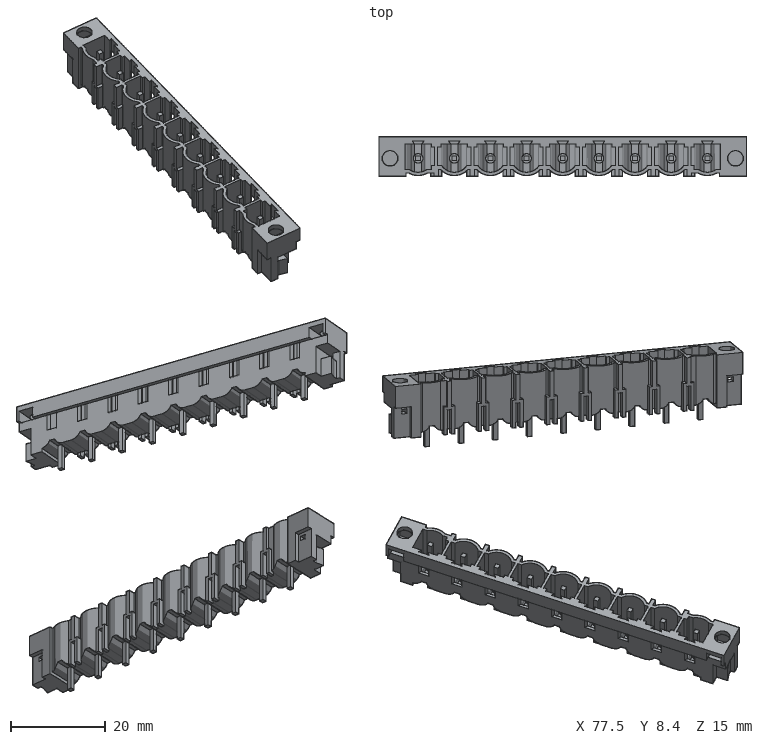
import cadquery as cq
import math


LENGTH = 77.45
HALF_LENGTH = LENGTH / 2
WIDTH = 8.4
HOUSING_DEPTH = 11.7
FLANGE_THICKNESS = 0.9
FLANGE_DEPTH = 3.5
BACK_Y = WIDTH - FLANGE_THICKNESS

PIN_COUNT = 9
PIN_SPAN = 60.95
PITCH = PIN_SPAN / (PIN_COUNT - 1)
PIN_Y = 3.8
CELL_X = [i * PITCH - PIN_SPAN / 2 for i in range(PIN_COUNT)]
JOINT_X = [x + PITCH / 2 for x in CELL_X[:-1]]

WALL = 0.7
ARC_Y = 4.0
OUTER_RADIUS = 3.9
INNER_RADIUS = OUTER_RADIUS - WALL
WEB_Y = 1.5
END_CELL_Y = 0.7

CAVITY_HALF_WIDTH = 2.8
CAVITY_BACK_Y = 6.8
SEPTUM = 0.6
SIDE_POCKET_FRONT_Y = 2.25
SIDE_POCKET_BACK_Y = 6.2
DOVETAIL_MOUTH = 1.55
DOVETAIL_BACK = 2.4
DOVETAIL_DEPTH = 7.0

BOTTOM_DEPTH = 10.9
HUB_BOTTOM_DEPTH = 9.5
UNDERSIDE_X = 2.8
UNDERSIDE_RADIUS = 2.5

FLOOR_DEPTH = 10.2
TROUGH_X = 2.55
TROUGH_RADIUS = 1.3
TROUGH_AXIS_DEPTH = FLOOR_DEPTH - TROUGH_RADIUS
SHOULDER_X = 1.4
SHOULDER_DEPTH = TROUGH_AXIS_DEPTH + math.sqrt(TROUGH_RADIUS**2 - (TROUGH_X - SHOULDER_X) ** 2)
HUB_TOP_DEPTH = 8.8
HUB_HALF_WIDTH = 0.735
COLLAR_RADIUS = 1.0
COLLAR_HEIGHT = 0.5

RIB_WIDTH = 0.9
FOOT_WIDTH = 2.4
FOOT_TOP_DEPTH = 5.6
FOOT_SLOT_TOP_DEPTH = 6.3

END_BLOCK_LENGTH = 5.7
NOTCH_LENGTH = 3.6
NOTCH_WIDTH = 1.0
NOTCH_TOP_DEPTH = 4.8
RECESS_LENGTH = 2.95
RECESS_FRONT_Y = 2.7
RECESS_TOP_DEPTH = 5.5
WINDOW_WIDTH = 1.2
WINDOW_HEIGHT = 1.0
SCREW_INSET = 2.3
SCREW_RADIUS = 1.6
SCREW_HOLE_DEPTH = 1.2
NUT_WIDTH = 3.4
NUT_FRONT_Y = 2.25
WEDGE_TOP_DEPTH = 7.6
WEDGE_SLOPE_Y = 3.65
WEDGE_BACK_Y = 5.4
WEDGE_LOW_INSET = 0.85
WEDGE_HIGH_INSET = 0.4

PIN_WIDTH = 1.0
PIN_TOP_DEPTH = 1.0
PIN_BOTTOM_DEPTH = 14.95


def block(x0, x1, y0, y1, top_depth, bottom_depth):
    """Box between two X values, two Y values and two depths below the mating face."""
    size = (x1 - x0, y1 - y0, bottom_depth - top_depth)
    return cq.Workplane("XY").box(*size, centered=False).translate((x0, y0, -bottom_depth))


def centred_block(x, width, y0, y1, top_depth, bottom_depth):
    return block(x - width / 2, x + width / 2, y0, y1, top_depth, bottom_depth)


def post(x, y, radius, top_depth, bottom_depth):
    """Vertical cylinder between two depths."""
    height = bottom_depth - top_depth
    return cq.Workplane("XY").circle(radius).extrude(height).translate((x, y, -bottom_depth))


def rods(x, depth, radius):
    """Two rods along Y on both sides of the middle of a cell centred at X = 0."""
    axes = [(-x, -depth), (x, -depth)]
    return cq.Workplane("XZ").pushPoints(axes).circle(radius).extrude(-WIDTH)


def underside_cut():
    """Space under the hub of a cell, bounded by the rounded trough bottoms."""
    space = centred_block(0, 2 * UNDERSIDE_X, 0, WIDTH, HUB_BOTTOM_DEPTH, HOUSING_DEPTH)
    return space.cut(rods(UNDERSIDE_X, BOTTOM_DEPTH - UNDERSIDE_RADIUS, UNDERSIDE_RADIUS))


def floor_hump():
    """Raised floor of a cell: a flat hub with sloping shoulders that drop into the troughs."""
    outline = [
        (-TROUGH_X, -FLOOR_DEPTH),
        (-TROUGH_X, -SHOULDER_DEPTH),
        (-SHOULDER_X, -SHOULDER_DEPTH),
        (-HUB_HALF_WIDTH, -HUB_TOP_DEPTH),
        (HUB_HALF_WIDTH, -HUB_TOP_DEPTH),
        (SHOULDER_X, -SHOULDER_DEPTH),
        (TROUGH_X, -SHOULDER_DEPTH),
        (TROUGH_X, -FLOOR_DEPTH),
    ]
    hump = cq.Workplane("XZ").polyline(outline).close().extrude(-WIDTH)
    collar = post(0, PIN_Y, COLLAR_RADIUS, HUB_TOP_DEPTH - COLLAR_HEIGHT, FLOOR_DEPTH)
    return hump.cut(rods(TROUGH_X, TROUGH_AXIS_DEPTH, TROUGH_RADIUS)).union(collar)


def dovetail():
    """Dovetail slot in the back wall, widening toward the back."""
    outline = [
        (-DOVETAIL_MOUTH / 2, CAVITY_BACK_Y),
        (DOVETAIL_MOUTH / 2, CAVITY_BACK_Y),
        (DOVETAIL_BACK / 2, BACK_Y),
        (-DOVETAIL_BACK / 2, BACK_Y),
    ]
    return cq.Workplane("XY").polyline(outline).close().extrude(-DOVETAIL_DEPTH)


def cavity(is_first, is_last):
    """Open space of one cell centred at X = 0; an end cell has a squarer front."""
    width = 2 * CAVITY_HALF_WIDTH
    front_y = ARC_Y - INNER_RADIUS
    space = post(0, ARC_Y, INNER_RADIUS, 0, FLOOR_DEPTH)
    space = space.intersect(centred_block(0, width, front_y, ARC_Y, 0, FLOOR_DEPTH))
    square_front_y = END_CELL_Y + WALL if is_first or is_last else ARC_Y
    space = space.union(centred_block(0, width, square_front_y, CAVITY_BACK_Y, 0, FLOOR_DEPTH))

    pocket_half_width = (PITCH - SEPTUM) / 2
    left = -CAVITY_HALF_WIDTH if is_first else -pocket_half_width
    right = CAVITY_HALF_WIDTH if is_last else pocket_half_width
    pockets = block(left, right, SIDE_POCKET_FRONT_Y, SIDE_POCKET_BACK_Y, 0, FLOOR_DEPTH)
    return space.union(pockets).cut(floor_hump()).union(dovetail())


def joint_feet(x):
    """Rib over a joint that widens into a standoff foot."""
    rib = centred_block(x, RIB_WIDTH, 0, WEB_Y, 0, FOOT_TOP_DEPTH)
    foot = centred_block(x, FOOT_WIDTH, 0, WEB_Y, FOOT_TOP_DEPTH, HOUSING_DEPTH)
    return rib.union(foot)


def foot_slot(x):
    """Slot that reaches back to the web and splits a foot in two."""
    return centred_block(x, RIB_WIDTH, 0, WEB_Y, FOOT_SLOT_TOP_DEPTH, HOUSING_DEPTH)


def wedge():
    """Locking wedge standing in the recess of the left mounting block."""
    outline = [
        (-HALF_LENGTH + WEDGE_LOW_INSET, RECESS_FRONT_Y),
        (-HALF_LENGTH + WEDGE_LOW_INSET, WEDGE_SLOPE_Y),
        (-HALF_LENGTH + WEDGE_HIGH_INSET, WEDGE_BACK_Y),
        (-HALF_LENGTH + RECESS_LENGTH, WEDGE_BACK_Y),
        (-HALF_LENGTH + RECESS_LENGTH, RECESS_FRONT_Y),
    ]
    height = HOUSING_DEPTH - WEDGE_TOP_DEPTH
    return cq.Workplane("XY").polyline(outline).close().extrude(height).translate((0, 0, -HOUSING_DEPTH))


def mounting_cut():
    """Everything removed from the left mounting block."""
    end = -HALF_LENGTH
    notch = block(end, end + NOTCH_LENGTH, 0, NOTCH_WIDTH, NOTCH_TOP_DEPTH, HOUSING_DEPTH)
    recess_end = end + RECESS_LENGTH
    recess = block(end, recess_end, RECESS_FRONT_Y, BACK_Y, RECESS_TOP_DEPTH, HOUSING_DEPTH)

    window_bottom = RECESS_TOP_DEPTH + WINDOW_HEIGHT
    window_start = recess_end - WINDOW_WIDTH
    window = block(window_start, recess_end, NOTCH_WIDTH, RECESS_FRONT_Y, RECESS_TOP_DEPTH, window_bottom)

    screw_x = end + SCREW_INSET
    screw_hole = post(screw_x, PIN_Y, SCREW_RADIUS, 0, SCREW_HOLE_DEPTH)
    nut_slot = centred_block(screw_x, NUT_WIDTH, NUT_FRONT_Y, WIDTH, SCREW_HOLE_DEPTH, FLANGE_DEPTH)
    return recess.cut(wedge()).union(notch).union(window).union(screw_hole).union(nut_slot)


def make_housing():
    body = block(-HALF_LENGTH, HALF_LENGTH, WEB_Y, BACK_Y, 0, BOTTOM_DEPTH)
    body = body.union(block(-HALF_LENGTH, HALF_LENGTH, BACK_Y, WIDTH, 0, FLANGE_DEPTH))

    for x in CELL_X:
        front = post(x, ARC_Y, OUTER_RADIUS, 0, BOTTOM_DEPTH)
        front = front.intersect(centred_block(x, PITCH, 0, ARC_Y, 0, BOTTOM_DEPTH))
        body = body.union(front)
    for x in (CELL_X[0], CELL_X[-1]):
        body = body.union(centred_block(x, PITCH, END_CELL_Y, ARC_Y, 0, BOTTOM_DEPTH))

    for x in CELL_X:
        body = body.cut(underside_cut().translate((x, 0, 0)))

    inner_end = HALF_LENGTH - END_BLOCK_LENGTH
    body = body.union(block(-HALF_LENGTH, -inner_end, 0, BACK_Y, 0, HOUSING_DEPTH))
    body = body.union(block(inner_end, HALF_LENGTH, 0, BACK_Y, 0, HOUSING_DEPTH))
    cut = mounting_cut()
    body = body.cut(cut).cut(cut.mirror("YZ"))

    for x in JOINT_X:
        body = body.union(joint_feet(x)).cut(foot_slot(x))

    for i, x in enumerate(CELL_X):
        body = body.cut(cavity(i == 0, i == PIN_COUNT - 1).translate((x, 0, 0)))
        body = body.cut(make_pin(x))
    return body


def make_pin(x):
    """Square contact pin."""
    half = PIN_WIDTH / 2
    return centred_block(x, PIN_WIDTH, PIN_Y - half, PIN_Y + half, PIN_TOP_DEPTH, PIN_BOTTOM_DEPTH)


housing = make_housing()
pins = [make_pin(x) for x in CELL_X]

result = cq.Compound.makeCompound([housing.val(), *[pin.val() for pin in pins]])